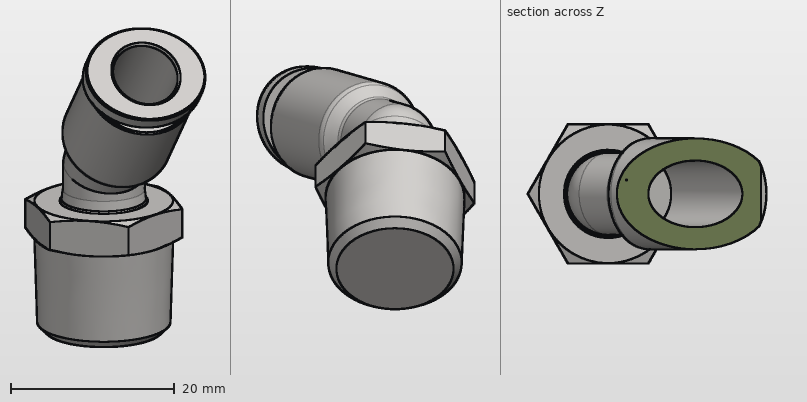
import cadquery as cq
import math

hex_across_flats = 17.0
hex_across_corners = hex_across_flats / math.cos(math.radians(30))
hex_bottom_z = 12.0
hex_top_z = 16.5
hex_rim_radius = 8.45
hex_corner_drop = 0.45

thread_taper = 1 / 16
thread_top_radius = 8.5
thread_tip_radius = 7.15
thread_chamfer_height = 1.0
thread_chamfer_radius = thread_top_radius - (hex_bottom_z - thread_chamfer_height) * thread_taper / 2

elbow_z = 21.0
elbow_angle = 45
elbow_radius = 5.0
skirt_top_z = 18.0
skirt_bottom_z = 16.75
skirt_radius = 5.2
skirt_foot_radius = 5.4

body_radius = 13.6 / 2
body_end = 20.75
body_chamfer = 0.2
shoulder_start = 5.05
shoulder_end = shoulder_start + body_radius - elbow_radius
neck_fillet = 0.65
body_fillet = 1.0
rim_tolerance = 0.05

stem_radius = 4.85
flange_start = 21.65
flange_end = 23.6
flange_half_width = 7.55
flange_half_height = 6.4
flange_chamfer = 0.15

bore_radius = 4.05
bore_chamfer = 0.3
bore_bottom = shoulder_end


def revolve_profile(points):
    """Turn a closed (radius, height) outline about Z."""
    return cq.Workplane("XZ").polyline(points).close().revolve(360, (0, 0, 0), (0, 1, 0))


def tilt_onto_elbow(shape):
    """Swing a shape built along Z towards +X and set it on the elbow centre."""
    return shape.rotate((0, 0, 0), (0, 1, 0), elbow_angle).translate((0, 0, elbow_z))


def make_thread():
    return revolve_profile([
        (0, 0),
        (thread_tip_radius, 0),
        (thread_chamfer_radius, thread_chamfer_height),
        (thread_top_radius, hex_bottom_z),
        (0, hex_bottom_z),
    ])


def make_hexagon():
    prism = (
        cq.Workplane("XY", origin=(0, 0, hex_bottom_z))
        .polygon(6, hex_across_corners)
        .extrude(hex_top_z - hex_bottom_z)
    )
    corner_radius = hex_across_corners / 2
    envelope = revolve_profile([
        (0, hex_bottom_z),
        (hex_rim_radius, hex_bottom_z),
        (corner_radius, hex_bottom_z + hex_corner_drop),
        (corner_radius, hex_top_z - hex_corner_drop),
        (hex_rim_radius, hex_top_z),
        (0, hex_top_z),
    ])
    return prism.intersect(envelope)


def make_upright_neck():
    return revolve_profile([
        (0, hex_top_z),
        (skirt_foot_radius, hex_top_z),
        (skirt_radius, skirt_bottom_z),
        (elbow_radius, skirt_top_z),
        (elbow_radius, elbow_z),
        (0, elbow_z),
    ])


def make_socket():
    socket = revolve_profile([
        (0, 0),
        (elbow_radius, 0),
        (elbow_radius, shoulder_start),
        (body_radius, shoulder_end),
        (body_radius, body_end),
        (0, body_end),
    ])
    socket = socket.faces(">Z").edges().chamfer(body_chamfer)
    blends = (
        (elbow_radius, shoulder_start, neck_fillet),
        (body_radius, shoulder_end, body_fillet),
    )
    for rim_radius, rim_height, fillet_radius in blends:
        rim = cq.selectors.BoxSelector(
            (-2 * rim_radius, -2 * rim_radius, rim_height - rim_tolerance),
            (2 * rim_radius, 2 * rim_radius, rim_height + rim_tolerance),
            boundingbox=True,
        )
        socket = socket.edges(rim).fillet(fillet_radius)
    return socket


def make_collar():
    stem = cq.Workplane("XY", origin=(0, 0, body_end)).circle(stem_radius).extrude(flange_start - body_end)
    flange = (
        cq.Workplane("XY", origin=(0, 0, flange_start))
        .ellipse(flange_half_height, flange_half_width)
        .extrude(flange_end - flange_start)
        .faces(">Z").edges().chamfer(flange_chamfer)
    )
    return stem.union(flange)


def make_bore():
    return revolve_profile([
        (0, bore_bottom),
        (bore_radius, bore_bottom),
        (bore_radius, flange_end - bore_chamfer),
        (bore_radius + bore_chamfer, flange_end),
        (0, flange_end),
    ])


ball = cq.Workplane("XY", origin=(0, 0, elbow_z)).sphere(elbow_radius)
tilted_branch = make_socket().union(make_collar()).cut(make_bore())

result = (
    make_thread()
    .union(make_hexagon())
    .union(make_upright_neck())
    .union(ball)
    .union(tilt_onto_elbow(tilted_branch))
)